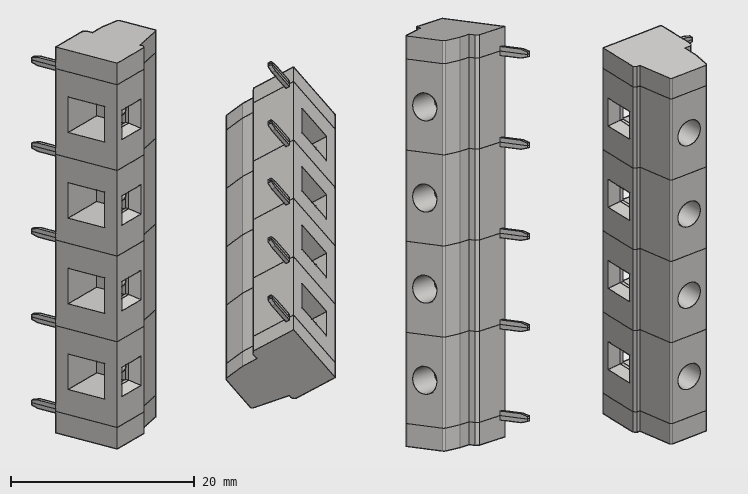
import cadquery as cq


stack_length = 45.7
module_count = 4
module_pitch = 10.15
cap_length = (stack_length - module_count * module_pitch) / 2

housing_width = 8.1
housing_depth = 10.0
shoulder_y = 5.6
pin_side_shoulder = 1.1
pin_side_slope_start_y = 7.45
pin_side_top_inset = 1.5
entry_side_shoulder = 0.75
entry_side_top_inset = 1.55
shoulder_chamfer = 0.3
top_fillet = 0.27

pin_length = 3.5
pin_height = 1.0
pin_thickness = 0.45
pin_offset_y = 0.55
pin_tip_height = 0.55
pin_taper_length = 0.82

pocket_offset_x = 1.65
pocket_width = 4.75
pocket_height = 4.2
pocket_depth = shoulder_y
screw_hole_diameter = 3.1
pocket_center_x = pocket_offset_x + pocket_width / 2
pocket_end_x = pocket_offset_x + pocket_width

entry_offset_y = 1.4
entry_depth = pocket_depth - 2 * entry_offset_y
entry_height = 2.45
entry_throat_length = 0.4
entry_flare = 0.5
entry_center_y = pocket_depth / 2


def housing_block(length):
    """Housing cross-section extruded from Z = 0 up to the given length."""
    outline = [
        (0, 0),
        (housing_width, 0),
        (housing_width, shoulder_y),
        (housing_width - entry_side_shoulder, shoulder_y),
        (housing_width - entry_side_top_inset, housing_depth),
        (pin_side_top_inset, housing_depth),
        (pin_side_shoulder, pin_side_slope_start_y),
        (pin_side_shoulder, shoulder_y),
        (0, shoulder_y),
    ]
    block = cq.Workplane("XY").polyline(outline).close().extrude(length)
    for corner_x in (0, housing_width):
        shoulder_edge = cq.selectors.NearestToPointSelector((corner_x, shoulder_y, length / 2))
        block = block.edges(shoulder_edge).chamfer(shoulder_chamfer)
    return block.faces(">Y").edges("|Z").fillet(top_fillet)


def half_pin(joint_z, direction):
    """Half of a tapered pin, on the side of the joint that direction (+1 or -1) points to."""
    outer_z = joint_z + direction * pin_height / 2
    tip_z = joint_z + direction * pin_tip_height / 2
    outline = [
        (0, joint_z),
        (0, outer_z),
        (pin_taper_length - pin_length, outer_z),
        (-pin_length, tip_z),
        (-pin_length, joint_z),
    ]
    return (
        cq.Workplane("XZ", origin=(0, pin_offset_y, 0))
        .polyline(outline)
        .close()
        .extrude(-pin_thickness)
    )


def clamp_pocket(center_z):
    """Rectangular pocket sunk from the clamp face."""
    return (
        cq.Workplane("XZ", origin=(pocket_center_x, 0, center_z))
        .rect(pocket_width, pocket_height)
        .extrude(-pocket_depth)
    )


def screw_hole(center_z):
    """Round hole along Y through the whole housing depth."""
    return (
        cq.Workplane("XZ", origin=(pocket_center_x, 0, center_z))
        .circle(screw_hole_diameter / 2)
        .extrude(-housing_depth)
    )


def wire_entry(center_z):
    """Rectangular passage from the pocket to the +X side, flared beyond its throat."""
    throat = (
        cq.Workplane("YZ", origin=(pocket_end_x, entry_center_y, center_z))
        .rect(entry_depth, entry_height)
        .extrude(entry_throat_length)
    )
    flare_start_x = pocket_end_x + entry_throat_length
    flare = (
        cq.Workplane("YZ", origin=(flare_start_x, entry_center_y, center_z))
        .rect(entry_depth, entry_height)
        .workplane(offset=housing_width - flare_start_x)
        .rect(entry_depth + 2 * entry_flare, entry_height + 2 * entry_flare)
        .loft(ruled=True)
    )
    return throat.union(flare)


def terminal_module():
    """One pole, with half a pin at each end."""
    center_z = module_pitch / 2
    return (
        housing_block(module_pitch)
        .cut(clamp_pocket(center_z))
        .cut(screw_hole(center_z))
        .cut(wire_entry(center_z))
        .union(half_pin(0, 1))
        .union(half_pin(module_pitch, -1))
    )


def bottom_cap():
    """Plain end piece with half a pin at its upper joint."""
    return housing_block(cap_length).union(half_pin(cap_length, -1))


def top_cap():
    """Plain end piece with half a pin at its lower joint."""
    return housing_block(cap_length).union(half_pin(0, 1))


lower_end = bottom_cap()
modules = cq.Workplane("XY")
for index in range(module_count):
    module = terminal_module().translate((0, 0, cap_length + index * module_pitch))
    modules = modules.add(module)
upper_end = top_cap().translate((0, 0, stack_length - cap_length))

result = cq.Compound.makeCompound([lower_end.val(), *modules.vals(), upper_end.val()])